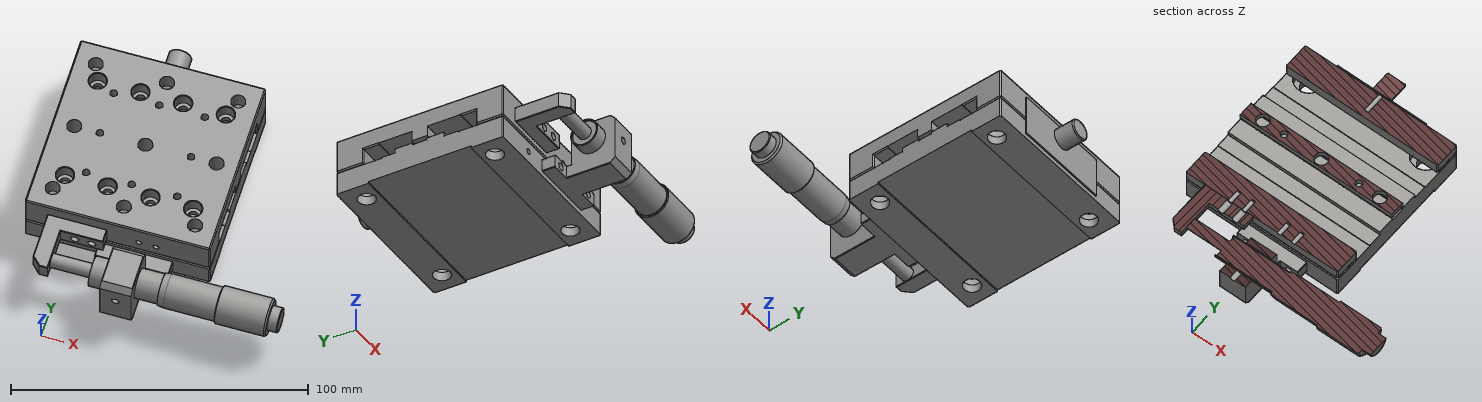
import cadquery as cq
import math


stage_side = 65.0
half_side = stage_side / 2
stage_height = 22.0
edge_chamfer = 0.45

base_edge_top = 8.5
base_step_top = 8.8
base_core_top = 10.4
base_groove_floor = 9.7
base_step_width = 30.0
base_core_width = 19.0
base_groove_width = 5.4
base_relief_width = 40.0
base_relief_depth = 0.7

table_bottom = 9.1
table_cavity_width = 43.8
table_seat_ceiling = 15.0
table_ceiling = 15.3
table_ceiling_width = 32.0
table_rib_width = 6.0
table_rib_bottom = 11.4

drill_point_angle = 118.0
mount_pitch = 25.0
table_mount_dia = 5.0
table_mount_depth = 6.5
small_pitch = 16.0
small_hole_dia = 2.5
rail_screw_pitch = 15.0
rail_screw_count = 4
rail_screw_row = 19.0
rail_screw_dia = 3.5
rail_bore_dia = 6.0
rail_bore_mouth_dia = 6.5
rail_bore_floor = 17.0
base_mount_dia = 6.5
base_bore_dia = 11.0
base_bore_depth = 5.0

side_tap_dia = 2.05
side_tap_depth = 5.0
micrometer_z = 14.0
base_tap_z = 4.5
arm_tap_x = (7.5, 13.5)
holder_tap_x = (2.5, 15.5)
lock_tap_depth = 8.0

lock_plate_length = 38.0
lock_plate_bottom = 2.0
lock_plate_top = 19.0
lock_plate_thickness = 0.5
knob_dia = 8.0
knob_end_y = 41.0
knob_z = 13.7
knob_chamfer = 0.4

flange_thickness = 5.0
flange_face_y = -half_side - flange_thickness
flange_screw_dia = 2.8
bracket_chamfer = 0.25

arm_left = -24.5
arm_right = -3.6
arm_height = 6.0
arm_z = 14.2
finger_width = 6.0
finger_end_y = -52.5
finger_corner = 3.0

holder_x = 6.5
holder_width = 11.0
holder_flange_length = 26.0
holder_bottom = 2.0
holder_flange_top = 7.0
holder_back_y = -39.5
holder_front_y = -56.5
holder_corner = 2.0
clamp_screw_dia = 2.5

micrometer_y = -47.5
spindle_dia = 5.0
spindle_tip_x = arm_left + finger_width
sleeve_dia = 10.5
stem_dia = 9.5
stem_setback = 0.5
sleeve_start_x = -4.2
thimble_start_x = 20.1
thimble_taper_length = 2.3
thimble_nose_dia = 11.4
thimble_dia = 12.0
grip_start_x = 40.3
grip_start_chamfer = 0.3
grip_dia = 13.3
grip_chamfer = 0.6
ratchet_start_x = 58.36
ratchet_dia = 8.73
ratchet_chamfer = 0.3
micrometer_end_x = 61.86


def block(x_range, y_range, z_range):
    """Box between two limits on each axis."""
    corner = (x_range[0], y_range[0], z_range[0])
    lengths = [high - low for low, high in (x_range, y_range, z_range)]
    return cq.Workplane("XY").box(*lengths, centered=False).translate(corner)


def strip(width, z_low, z_high):
    """Bar of a given width in Y, centred on Y and as long as the stage."""
    return block((-half_side, half_side), (-width / 2, width / 2), (z_low, z_high))


def rod(dia, start, length, direction):
    """Cylinder of a given length from a start point along a direction."""
    return cq.Workplane(cq.Solid.makeCylinder(dia / 2, length, cq.Vector(*start), cq.Vector(*direction)))


def vertical_hole(x, y, dia, z_low, z_high):
    return rod(dia, (x, y, z_low), z_high - z_low, (0, 0, 1))


def drilled_hole(dia, start, depth, direction):
    """Blind hole of a given full-diameter depth, ending in a conical drill point."""
    axis = cq.Vector(*direction)
    point_start = cq.Vector(*start) + axis * depth
    point_height = dia / 2 / math.tan(math.radians(drill_point_angle / 2))
    point = cq.Workplane(cq.Solid.makeCone(dia / 2, 0, point_height, point_start, axis))
    return rod(dia, start, depth, direction).union(point)


def rail_screw_hole(x, y):
    """Counterbored through hole with a chamfered mouth."""
    mouth = (rail_bore_mouth_dia - rail_bore_dia) / 2
    through = vertical_hole(x, y, rail_screw_dia, 0, stage_height)
    bore = vertical_hole(x, y, rail_bore_dia, rail_bore_floor, stage_height)
    cone = cq.Workplane(
        cq.Solid.makeCone(
            rail_bore_dia / 2, rail_bore_mouth_dia / 2, mouth, cq.Vector(x, y, stage_height - mouth)
        )
    )
    return through.union(bore).union(cone)


def front_tap(x, z):
    """Tapped hole entering a plate from its -Y side."""
    return drilled_hole(side_tap_dia, (x, -half_side, z), side_tap_depth, (0, 1, 0))


def make_base():
    """Fixed bottom plate, stepped on top and relieved underneath, with counterbored corner holes."""
    base = strip(stage_side, 0, base_edge_top).edges("|Z").chamfer(edge_chamfer)
    base = base.union(strip(base_step_width, 0, base_step_top))
    base = base.union(strip(base_core_width, 0, base_core_top))
    base = base.cut(strip(base_groove_width, base_groove_floor, stage_height))
    base = base.cut(strip(base_relief_width, 0, base_relief_depth))
    bore_floor = base_edge_top - base_bore_depth
    for x in (-mount_pitch, mount_pitch):
        for y in (-mount_pitch, mount_pitch):
            base = base.cut(vertical_hole(x, y, base_mount_dia, 0, base_edge_top))
            base = base.cut(vertical_hole(x, y, base_bore_dia, bore_floor, base_edge_top))
    for distance in holder_tap_x:
        for x in (-distance, distance):
            base = base.cut(front_tap(x, base_tap_z))
    return base


def make_table_blank():
    """Chamfered table plate with its guide cavity: outer rail seats, inner channels and centre rib."""
    table = strip(stage_side, table_bottom, stage_height)
    seat_width = (table_cavity_width - table_ceiling_width) / 2
    seat_y = (table_cavity_width + table_ceiling_width) / 4
    for y in (-seat_y, seat_y):
        table = table.cut(strip(seat_width, table_bottom, table_seat_ceiling).translate((0, y, 0)))
    end_edges = table.faces("|X").edges()
    long_edges = table.faces("|Y").faces("<Y or >Y").edges("|X")
    table = table.newObject(end_edges.vals() + long_edges.vals()).chamfer(edge_chamfer)
    channel_width = (table_ceiling_width - table_rib_width) / 2
    channel_y = (table_ceiling_width + table_rib_width) / 4
    for y in (-channel_y, channel_y):
        table = table.cut(strip(channel_width, table_bottom, table_ceiling).translate((0, y, 0)))
    return table.cut(strip(table_rib_width, table_bottom, table_rib_bottom))


def make_table():
    """Moving top plate with its mounting, rail screw and side holes."""
    table = make_table_blank()
    for x in (-mount_pitch, 0, mount_pitch):
        table = table.cut(vertical_hole(x, 0, table_mount_dia, 0, stage_height))
        for y in (-mount_pitch, mount_pitch):
            start = (x, y, stage_height)
            table = table.cut(drilled_hole(table_mount_dia, start, table_mount_depth, (0, 0, -1)))
    for column in (-1, 0, 1):
        for row in (-1, 0, 1):
            if (column, row) != (0, 0):
                x = column * small_pitch
                y = row * small_pitch
                table = table.cut(vertical_hole(x, y, small_hole_dia, 0, stage_height))
    for index in range(rail_screw_count):
        x = (index - (rail_screw_count - 1) / 2) * rail_screw_pitch
        for y in (-rail_screw_row, rail_screw_row):
            table = table.cut(rail_screw_hole(x, y))
    for distance in arm_tap_x:
        for x in (-distance, distance):
            table = table.cut(front_tap(x, micrometer_z))
    lock_tap = rod(side_tap_dia, (0, half_side, micrometer_z), lock_tap_depth, (0, -1, 0))
    return table.cut(lock_tap)


def make_lock_plate():
    """Thin plate against the +Y sides of both plates."""
    half_length = lock_plate_length / 2
    y_range = (half_side, half_side + lock_plate_thickness)
    return block((-half_length, half_length), y_range, (lock_plate_bottom, lock_plate_top))


def make_lock_knob():
    """Plain knob standing on the lock plate."""
    start_y = half_side + lock_plate_thickness
    knob = rod(knob_dia, (0, start_y, knob_z), knob_end_y - start_y, (0, 1, 0))
    return knob.faces(">Y").chamfer(knob_chamfer)


def make_stop_arm():
    """L-shaped arm bolted to the table, whose finger meets the spindle tip."""
    outline = [
        (arm_left, -half_side),
        (arm_right, -half_side),
        (arm_right, flange_face_y),
        (spindle_tip_x, flange_face_y),
        (spindle_tip_x, finger_end_y),
        (arm_left + finger_corner, finger_end_y),
        (arm_left, finger_end_y + finger_corner),
    ]
    arm_bottom = (0, 0, arm_z - arm_height / 2)
    arm = cq.Workplane("XY", origin=arm_bottom).polyline(outline).close().extrude(arm_height)
    arm = arm.faces("|Z").edges().chamfer(bracket_chamfer)
    for distance in arm_tap_x:
        start = (-distance, flange_face_y, micrometer_z)
        arm = arm.cut(rod(flange_screw_dia, start, flange_thickness, (0, 1, 0)))
    return arm


def make_holder():
    """Micrometer clamp block with a flange bolted to the base."""
    half_flange = holder_flange_length / 2
    half_width = holder_width / 2
    z_range = (holder_bottom, holder_flange_top)
    flange = block((holder_x - half_flange, holder_x + half_flange), (flange_face_y, -half_side), z_range)
    neck = block((holder_x - half_width, holder_x + half_width), (holder_back_y, flange_face_y), z_range)
    body_profile = [
        (holder_back_y, holder_bottom),
        (holder_back_y, stage_height - holder_corner),
        (holder_back_y - holder_corner, stage_height),
        (holder_front_y + holder_corner, stage_height),
        (holder_front_y, stage_height - holder_corner),
        (holder_front_y, holder_bottom + holder_corner),
        (holder_front_y + holder_corner, holder_bottom),
    ]
    body = cq.Workplane("YZ", origin=(holder_x - half_width, 0, 0)).polyline(body_profile).close()
    holder = body.extrude(holder_width).union(neck).union(flange)
    holder = holder.edges("|Y").chamfer(bracket_chamfer)
    holder = holder.cut(
        rod(sleeve_dia, (holder_x - half_width, micrometer_y, micrometer_z), holder_width, (1, 0, 0))
    )
    clamp_length = micrometer_y - holder_front_y
    holder = holder.cut(
        rod(clamp_screw_dia, (holder_x, holder_front_y, micrometer_z), clamp_length, (0, 1, 0))
    )
    for x in (-holder_tap_x[0], holder_tap_x[1]):
        start = (x, flange_face_y, base_tap_z)
        holder = holder.cut(rod(flange_screw_dia, start, flange_thickness, (0, 1, 0)))
    return holder


def turned(profile):
    """Solid of revolution about the micrometer axis, from (x, radius) points."""
    solid = cq.Workplane("XY").polyline(profile).close().revolve(360, (0, 0, 0), (1, 0, 0))
    return solid.translate((0, micrometer_y, micrometer_z))


def make_sleeve():
    """Clamped tube around the micrometer stem."""
    length = thimble_start_x - sleeve_start_x
    start = (sleeve_start_x, micrometer_y, micrometer_z)
    return rod(sleeve_dia, start, length, (1, 0, 0)).cut(rod(stem_dia, start, length, (1, 0, 0)))


def make_micrometer():
    """Micrometer head: spindle, stem, thimble, grip and ratchet stop."""
    stem_start_x = sleeve_start_x + stem_setback
    profile = [
        (spindle_tip_x, 0),
        (spindle_tip_x, spindle_dia / 2),
        (stem_start_x, spindle_dia / 2),
        (stem_start_x, stem_dia / 2),
        (thimble_start_x, stem_dia / 2),
        (thimble_start_x, thimble_nose_dia / 2),
        (thimble_start_x + thimble_taper_length, thimble_dia / 2),
        (grip_start_x, thimble_dia / 2),
        (grip_start_x, grip_dia / 2 - grip_start_chamfer),
        (grip_start_x + grip_start_chamfer, grip_dia / 2),
        (ratchet_start_x - grip_chamfer, grip_dia / 2),
        (ratchet_start_x, grip_dia / 2 - grip_chamfer),
        (ratchet_start_x, ratchet_dia / 2),
        (micrometer_end_x - ratchet_chamfer, ratchet_dia / 2),
        (micrometer_end_x, ratchet_dia / 2 - ratchet_chamfer),
        (micrometer_end_x, 0),
    ]
    return turned(profile)


bodies = [
    make_base(),
    make_table(),
    make_lock_plate(),
    make_lock_knob(),
    make_stop_arm(),
    make_holder(),
    make_sleeve(),
    make_micrometer(),
]
result = cq.Compound.makeCompound([body.val() for body in bodies])